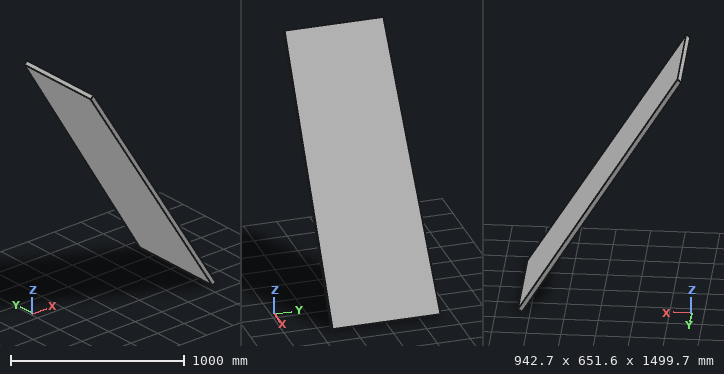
import cadquery as cq
import math

length_x = 942.66
width_y = 651.57
height_z = 1499.72

thickness = 30.0
top_end_angle = 37.5
foot_end_angle = 25.0
top_end_width = 597.0


def end_face_vector(end_angle, slope):
    """Run and rise of an end face that crosses the thickness at the given angle."""
    angle = math.radians(end_angle)
    face_length = thickness / math.sin(angle + slope)
    return face_length * math.cos(angle), face_length * math.sin(angle)


def panel_slope():
    """Slope of the faces, settled so both faces are parallel inside the envelope."""
    slope = math.atan2(height_z, length_x)
    settling_passes = 20
    for _ in range(settling_passes):
        top_run = end_face_vector(top_end_angle, slope)[0]
        foot_rise = end_face_vector(foot_end_angle, slope)[1]
        slope = math.atan2(height_z - foot_rise, length_x - top_run)
    return slope


slope = panel_slope()
top_run, top_rise = end_face_vector(top_end_angle, slope)
foot_run, foot_rise = end_face_vector(foot_end_angle, slope)


def sloping_slab():
    """Thin slab with bevelled ends, leaning in the XZ plane and wide along Y."""
    top_lower_corner = (0, height_z - top_rise)
    top_upper_corner = (top_run, height_z)
    foot_upper_corner = (length_x, foot_rise)
    foot_lower_corner = (length_x - foot_run, 0)
    profile = cq.Workplane("XZ").polyline(
        [top_lower_corner, top_upper_corner, foot_upper_corner, foot_lower_corner]
    )
    return profile.close().extrude(-width_y)


def tapered_outline():
    """Trapezoid with a square near edge and a slanted far edge, square to the panel."""
    slope_run = length_x - top_run
    slope_drop = height_z - foot_rise
    slope_length = math.hypot(slope_run, slope_drop)
    upper_face = cq.Plane(
        origin=(top_run, 0, height_z),
        xDir=(slope_run, 0, -slope_drop),
        normal=(slope_drop, 0, slope_run),
    )
    far_edge_gradient = (width_y - top_end_width) / slope_length
    overrun = 2 * thickness
    start = -overrun
    end = slope_length + overrun
    outline = cq.Workplane(upper_face).polyline(
        [
            (start, 0),
            (end, 0),
            (end, top_end_width + far_edge_gradient * end),
            (start, top_end_width + far_edge_gradient * start),
        ]
    )
    return outline.close().extrude(overrun, both=True)


result = sloping_slab().intersect(tapered_outline())